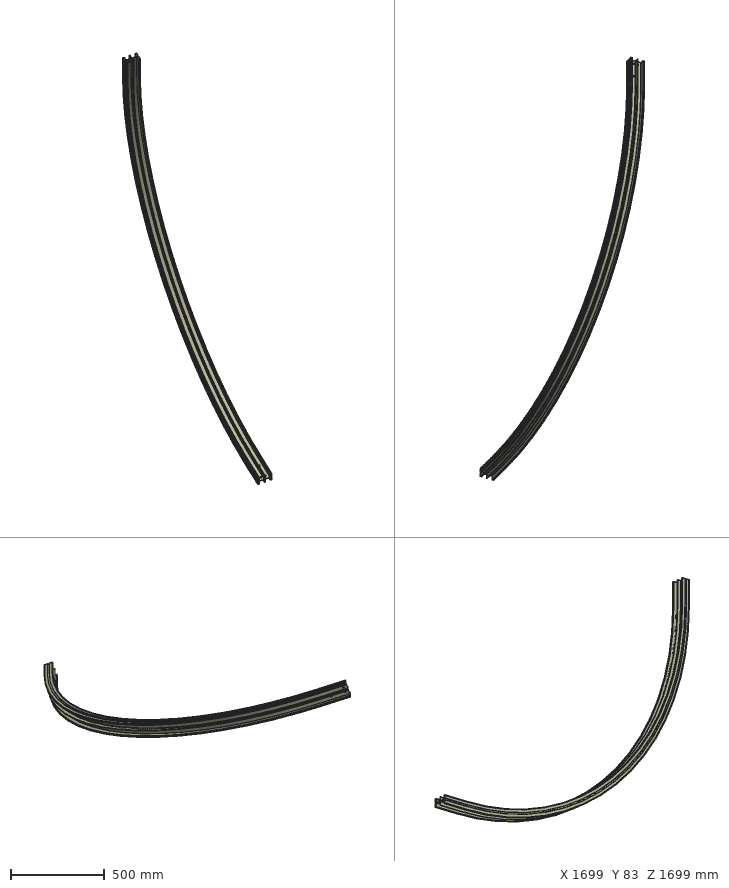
import cadquery as cq

overall_length = 1699.0
beam_width = 83.0
beam_depth = 48.0
straight_length = 150.0

flange_thickness = 10.0
rib_thickness = 5.0
web_thickness = 3.0
web_offset = 22.0

groove_offset = 19.0
groove_width = 10.0
groove_depth = 3.0

tip_slot_width = 3.0
tip_slot_depth = 3.0

hole_diameter = 7.0
hole_side_offset = 14.0
joint_hole_distance = 20.0
single_hole_distance = 99.0

bend_radius = overall_length - straight_length
half_width = beam_width / 2
flange_center = half_width - flange_thickness / 2
bend_angle = 90


def beam_section():
    """Section in the XY plane: two grooved flanges and a middle rib joined by a web."""
    mid_depth = beam_depth / 2
    web_center = web_offset + web_thickness / 2
    groove_center = groove_offset + groove_width / 2
    flanges = [(mid_depth, side * flange_center) for side in (-1, 1)]
    grooves = [(groove_center, side * half_width) for side in (-1, 1)]
    tips = [(depth, side * flange_center) for depth in (0, beam_depth) for side in (-1, 1)]
    return (
        cq.Sketch()
        .push(flanges).rect(beam_depth, flange_thickness).reset()
        .push([(mid_depth, 0)]).rect(beam_depth, rib_thickness).reset()
        .push([(web_center, 0)]).rect(web_thickness, 2 * flange_center).reset()
        .push(grooves).rect(groove_width, 2 * groove_depth, mode="s").reset()
        .push(tips).rect(2 * tip_slot_depth, tip_slot_width, mode="s").reset()
        .clean()
    )


def section_plane():
    """The section placed where the vertical leg meets the bend."""
    return cq.Workplane("XY", origin=(0, 0, bend_radius)).placeSketch(beam_section())


def straight_leg():
    """Vertical leg with a pair of joint holes and one single hole through its web."""
    holes = [
        (-hole_side_offset, overall_length - joint_hole_distance),
        (hole_side_offset, overall_length - joint_hole_distance),
        (hole_side_offset, overall_length - single_hole_distance),
    ]
    drills = cq.Workplane("YZ").pushPoints(holes).circle(hole_diameter / 2).extrude(beam_depth)
    return section_plane().extrude(straight_length).cut(drills)


def swap_x_and_z(leg):
    """Turn the vertical leg into the horizontal one by mirroring it in the plane X = Z."""
    return leg.mirror("YZ").rotate((0, 0, 0), (0, 1, 0), bend_angle)


vertical_leg = straight_leg()
horizontal_leg = swap_x_and_z(vertical_leg)
bend = section_plane().revolve(bend_angle, (bend_radius, 0, 0), (bend_radius, -1, 0))

result = vertical_leg.union(bend).union(horizontal_leg)